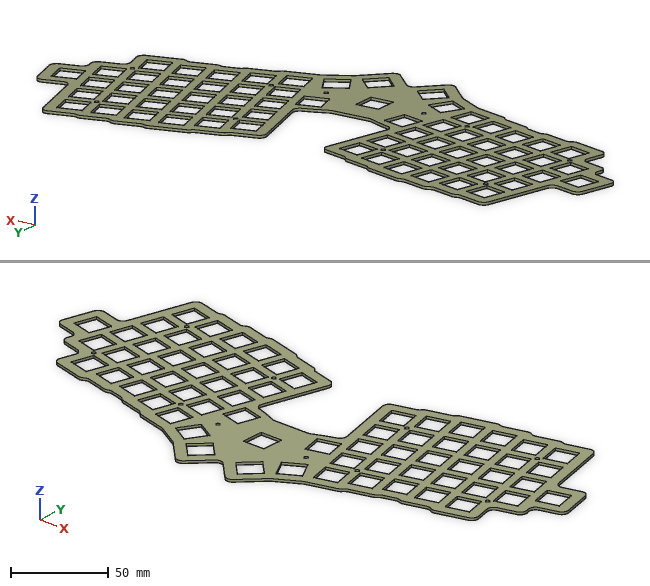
import cadquery as cq
import math

overall_width = 346.5
thickness = 1.6
tilt = 15.0
row_pitch = 19.0
cutout = 14.0
cell_half = 13.5
corner_radius = cell_half - row_pitch / 2
screw_diameter = 2.3

first_column = 42.5
columns = [(27.5, 5), (29.0, 5), (30.5, 5), (28.8, 5), (26.0, 5), (24.3, 4)]
outer_key_v = -23.2
inner_key_v = -20.0

tilt_cos = math.cos(math.radians(tilt))
tilt_sin = math.sin(math.radians(tilt))
cell_reach = (cell_half - corner_radius) * (tilt_cos + tilt_sin) + corner_radius
outer_key_x = overall_width / 2 - cell_reach
outer_key_u = (outer_key_x + outer_key_v * tilt_sin) / tilt_cos
column_pitch = (outer_key_u - first_column) / len(columns)
outer_key = (outer_key_u, outer_key_v)
inner_key = (first_column - column_pitch, inner_key_v)

thumb_keys = [(34.0, -44.5, 30.0), (17.0, -57.5, 45.0)]

centre_cutout_y = -28.8
bridge_top = -6.5
bridge_half_width = 12.0
shoulder_start = (19.0, -8.3)
shoulder_end = (first_column - cell_half, -7.5)
bridge_screw = (30.0, -29.0)


def tilted(u, v):
    """Plate position of a point given in the tilted frame of the right-hand key block."""
    x = u * tilt_cos - v * tilt_sin
    y = u * tilt_sin + v * tilt_cos
    return x, y


def square_block(x, y, side, rotation):
    block = cq.Workplane("XY").rect(side, side).extrude(thickness)
    return block.rotate((0, 0, 0), (0, 0, 1), rotation).translate((x, y, 0))


def both_halves(body):
    return body.union(body.mirror("YZ"))


def key_position(column, row):
    """Centre of a key in the tilted frame; rows count down from the top of the column."""
    top, _ = columns[column]
    return first_column + column * column_pitch, top - row * row_pitch


def gap_position(column, row):
    """Middle of the four keys around the lower outer corner of the given key."""
    corner_keys = [key_position(column + i, row + j) for i in (0, 1) for j in (0, 1)]
    u = sum(key[0] for key in corner_keys) / len(corner_keys)
    v = sum(key[1] for key in corner_keys) / len(corner_keys)
    return tilted(u, v)


column_keys = [key_position(i, j) for i, (_, count) in enumerate(columns) for j in range(count)]
cell_keys = [tilted(u, v) + (tilt,) for u, v in column_keys + [outer_key]] + thumb_keys
all_keys = cell_keys + [tilted(*inner_key) + (tilt,)]


def bridge():
    bottom_row = columns[0][1] - 1
    right_points = [
        (bridge_half_width, bridge_top),
        tilted(*shoulder_start),
        tilted(*shoulder_end),
        tilted(*key_position(0, bottom_row)),
        thumb_keys[0][:2],
        thumb_keys[1][:2],
    ]
    left_points = [(-x, y) for x, y in reversed(right_points)]
    return cq.Workplane("XY").polyline(right_points + left_points).close().extrude(thickness)


blank = bridge()
for x, y, rotation in cell_keys:
    blank = blank.union(both_halves(square_block(x, y, 2 * cell_half, rotation)))
blank = blank.clean()

bottom_wires = blank.faces("<Z").wires().vals()
outline = max(bottom_wires, key=lambda wire: wire.BoundingBox().DiagonalLength)
for offset in (-corner_radius, 2 * corner_radius, -corner_radius):
    outline = outline.offset2D(offset, "arc")[0]
plate = cq.Workplane("XY").add(outline).toPending().extrude(thickness)

for x, y, rotation in all_keys:
    plate = plate.cut(both_halves(square_block(x, y, cutout, rotation)))
plate = plate.cut(square_block(0, centre_cutout_y, cutout, 0))

screws = [gap_position(column, row) for column in (0, 4) for row in (0, 3)] + [bridge_screw]
screw_points = [(side * x, y) for x, y in screws for side in (1, -1)]
holes = cq.Workplane("XY").pushPoints(screw_points).circle(screw_diameter / 2).extrude(thickness)
result = plate.cut(holes).solids()